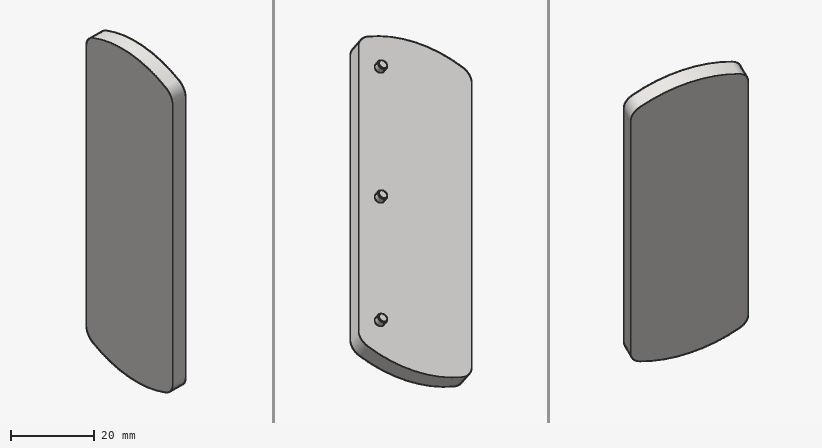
import cadquery as cq

length = 99.7
width = 30.9
plate_thickness = 4.3
end_radius = 30.0
corner_radius = 4.3

overall_depth = 6.2
pin_diameter = 2.6
pin_tip_chamfer = 0.2
pin_x = 9.8
outer_pin_z = 38.4
middle_pin_z = -1.0
pin_length = overall_depth - plate_thickness


def make_plate():
    """Straight-sided slab whose ends are arcs, with rounded corners."""
    half_width = width / 2
    half_length = length / 2
    bow_height = end_radius - (end_radius**2 - half_width**2) ** 0.5
    shoulder_z = half_length - bow_height
    return (
        cq.Workplane("XZ")
        .moveTo(-half_width, -shoulder_z)
        .lineTo(-half_width, shoulder_z)
        .threePointArc((0, half_length), (half_width, shoulder_z))
        .lineTo(half_width, -shoulder_z)
        .threePointArc((0, -half_length), (-half_width, -shoulder_z))
        .close()
        .extrude(-plate_thickness)
        .edges("|Y")
        .fillet(corner_radius)
    )


def make_pin(z):
    """Round pin standing on the back face, with a chamfered tip."""
    return (
        cq.Workplane("XZ", origin=(pin_x, plate_thickness, z))
        .circle(pin_diameter / 2)
        .extrude(-pin_length)
        .faces(">Y")
        .chamfer(pin_tip_chamfer)
    )


result = make_plate()
for pin_z in (outer_pin_z, middle_pin_z, -outer_pin_z):
    result = result.union(make_pin(pin_z))